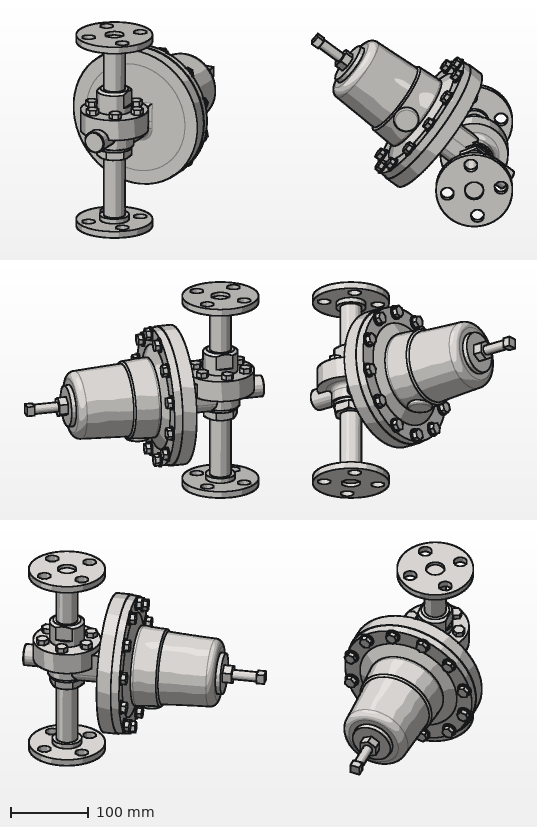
import cadquery as cq
import math


pipe_length = 260.5
pipe_radius = 14.0
flange_radius = 49.3
flange_thickness = 8.8
flange_hub_radius = 19.0
flange_hub_height = 6.3
flange_hole_diameter = 16.7
flange_hole_offset = 24.5
bore_radius = 12.0
bore_depth = 4.7

body_radius = 43.5
cover_top = 28.0
body_bottom = 1.0
skirt_radius = 25.0
skirt_fillet = 7.0
skirt_bottom = -19.3
skirt_step_radius = 22.5
hex_across_flats = 39.0
hex_top = -23.5
hex_bottom = -34.7
hex_chamfer_height = 1.42
hex_chamfer_width = 2.8
hub_radius = 22.5
hub_top = 56.8
hub_chamfer_height = 2.8
hub_chamfer_width = 4.5
hub_flat_bottom = 36.3
cover_bolt_count = 6
cover_bolt_circle_radius = 33.0
cover_bolt_across_flats = 13.5
cover_bolt_height = 6.5
stub_radius = 14.0
stub_end = -55.3
stub_chamfer = 1.0

neck_width = 44.8
neck_top = 20.0
neck_bottom = -23.5
neck_corner_radius = 13.5
neck_root_fillet = 5.0

housing_diameter = 181.0
housing_front = 57.5
housing_joint = 76.0
housing_back = 86.8
rim_front_radius = 89.7
rim_back_radius = 89.0
cone_base_radius = 72.0
cone_apex = 48.3
housing_bolt_count = 12
housing_bolt_circle_radius = 81.8
housing_bolt_across_flats = 13.3
housing_bolt_top = 94.7
housing_bolt_turn = 35.0
washer_diameter = 18.0
washer_thickness = 1.5

flare_radius = 68.0
flare_top = 94.0
bonnet_base_top = 97.0
bonnet_base_radius = 52.0
bonnet_step = 127.2
bonnet_step_radius = 50.2
barrel_start = 129.5
barrel_base_radius = 47.5
barrel_end = 191.3
barrel_end_radius = 44.2
crown = 200.8
crown_fillet = crown - barrel_end
collar_base_radius = 27.0
collar_top_radius = 26.5
collar_top = 206.8
vent_radius = 16.0
vent_end = -53.7
vent_edge_fillet = 2.0
nut_across_flats = 22.0
nut_top = 218.2
screw_width = 12.5
screw_square_length = 10.0
screw_end = 260.5


def cylinder(radius, bottom, top):
    return cq.Workplane("XY").workplane(offset=bottom).circle(radius).extrude(top - bottom)


def hexagon(across_flats, bottom, top):
    """Hexagonal prism along Z with its corners on the Y axis."""
    corner_diameter = across_flats / math.cos(math.radians(30))
    prism = cq.Workplane("XY").workplane(offset=bottom).polygon(6, corner_diameter)
    return prism.extrude(top - bottom).rotate((0, 0, 0), (0, 0, 1), 30)


def along_y(shape):
    """Turn a shape built along +Z to lie along +Y."""
    return shape.rotate((0, 0, 0), (1, 0, 0), -90)


def pipe_end():
    """Upper pipe flange with its hub, bolt holes and shallow bore."""
    top = pipe_length / 2
    face = top - flange_thickness
    end = cylinder(flange_radius, face, top)
    end = end.union(cylinder(flange_hub_radius, face - flange_hub_height, face))
    corners = [(x, y) for x in (-flange_hole_offset, flange_hole_offset)
               for y in (-flange_hole_offset, flange_hole_offset)]
    holes = cq.Workplane("XY").workplane(offset=face).pushPoints(corners)
    return end.cut(holes.circle(flange_hole_diameter / 2).extrude(flange_thickness))


def pipe():
    half = pipe_length / 2
    upper = pipe_end()
    run = cylinder(pipe_radius, -half + bore_depth, half - bore_depth)
    run = run.union(upper).union(upper.mirror("XY"))
    upper_bore = cylinder(bore_radius, half - bore_depth, half)
    return run.cut(upper_bore).cut(upper_bore.mirror("XY"))


def valve_body():
    """Turned body: cover, bowl and filleted skirt."""
    profile = (
        cq.Workplane("XZ")
        .moveTo(0, cover_top)
        .lineTo(body_radius, cover_top)
        .lineTo(body_radius, body_bottom)
        .lineTo(skirt_radius + skirt_fillet, body_bottom)
        .radiusArc((skirt_radius, body_bottom - skirt_fillet), -skirt_fillet)
        .lineTo(skirt_radius, skirt_bottom)
        .lineTo(skirt_step_radius, skirt_bottom)
        .lineTo(skirt_step_radius, hex_top)
        .lineTo(0, hex_top)
        .close()
    )
    return profile.revolve(360, (0, 0, 0), (0, 1, 0))


def lower_nut():
    """Hexagon under the body with its lower corners turned off."""
    corner_radius = hex_across_flats / 2 / math.cos(math.radians(30))
    turned = cylinder(corner_radius, hex_bottom, hex_top)
    turned = turned.faces("<Z").chamfer(hex_chamfer_height, hex_chamfer_width)
    return hexagon(hex_across_flats, hex_bottom, hex_top).intersect(turned)


def cover_hub():
    """Round hub on the cover with two wrench flats facing -X and +X."""
    hub = cylinder(hub_radius, cover_top, hub_top)
    hub = hub.faces(">Z").chamfer(hub_chamfer_height, hub_chamfer_width)
    flat_height = hub_top - hub_flat_bottom
    for side in (-1, 1):
        waste = cq.Workplane("XY").box(hub_radius, 2 * hub_radius, flat_height)
        offset = side * (hex_across_flats + hub_radius) / 2
        hub = hub.cut(waste.translate((offset, 0, hub_top - flat_height / 2)))
    return hub


def cover_bolts():
    head = hexagon(cover_bolt_across_flats, cover_top, cover_top + cover_bolt_height)
    heads = cq.Workplane("XY")
    for index in range(cover_bolt_count):
        angle = math.radians(index * 360 / cover_bolt_count)
        x = cover_bolt_circle_radius * math.cos(angle)
        y = cover_bolt_circle_radius * math.sin(angle)
        heads = heads.add(head.translate((x, y, 0)))
    return heads.combine()


def stub():
    """Closed round boss pointing to -Y."""
    boss = along_y(cylinder(stub_radius, stub_end, 0))
    return boss.faces("<Y").chamfer(stub_chamfer)


def diaphragm_housing():
    """Turned housing: shallow cone, thick lower flange and thinner upper rim."""
    profile = (
        cq.Workplane("XY")
        .moveTo(0, cone_apex)
        .lineTo(cone_base_radius, housing_front)
        .lineTo(housing_diameter / 2, housing_front)
        .lineTo(housing_diameter / 2, housing_joint)
        .lineTo(rim_front_radius, housing_joint)
        .lineTo(rim_back_radius, housing_back)
        .lineTo(0, housing_back)
        .close()
    )
    return profile.revolve(360, (0, 0, 0), (0, 1, 0))


def neck():
    """Block from the valve axis to the housing, rounded along its lower edges."""
    height = neck_top - neck_bottom
    block = cq.Workplane("XY").box(neck_width, housing_front, height)
    block = block.translate((0, housing_front / 2, (neck_top + neck_bottom) / 2))
    return block.edges("|Y and <Z").fillet(neck_corner_radius)


def housing_with_neck():
    """Join the neck to the cone and round the corner where they meet."""
    joined = diaphragm_housing().union(neck())
    reach = neck_width
    low_corner = (-reach, cone_apex, -reach)
    high_corner = (reach, housing_front - neck_root_fillet / 2, reach)
    root = joined.edges(cq.selectors.BoxSelector(low_corner, high_corner))
    return root.fillet(neck_root_fillet)


def bonnet():
    """Turned spring bonnet from the housing rim to the collar on its crown."""
    profile = (
        cq.Workplane("XY")
        .moveTo(0, housing_back)
        .lineTo(flare_radius, housing_back)
        .lineTo(bonnet_base_radius, flare_top)
        .lineTo(bonnet_base_radius, bonnet_base_top)
        .lineTo(bonnet_step_radius, bonnet_step)
        .lineTo(barrel_base_radius, barrel_start)
        .lineTo(barrel_end_radius, barrel_end)
        .radiusArc((barrel_end_radius - crown_fillet, crown), -crown_fillet)
        .lineTo(collar_base_radius, crown)
        .lineTo(collar_top_radius, collar_top)
        .lineTo(0, collar_top)
        .close()
    )
    return profile.revolve(360, (0, 0, 0), (0, 1, 0))


def vent():
    """Round vent boss under the lower band of the bonnet."""
    center = bonnet_step - vent_radius
    boss = cylinder(vent_radius, vent_end, 0).faces("<Z").edges().fillet(vent_edge_fillet)
    return boss.translate((0, center, 0))


def adjusting_screw():
    square_start = screw_end - screw_square_length
    screw = hexagon(nut_across_flats, collar_top, nut_top)
    screw = screw.union(cylinder(screw_width / 2, collar_top, square_start))
    square = cq.Workplane("XY").workplane(offset=square_start).rect(screw_width, screw_width)
    return along_y(screw.union(square.extrude(screw_square_length)))


def housing_bolts():
    """Hex heads on washers, each turned with its place on the bolt circle."""
    head = hexagon(housing_bolt_across_flats, housing_back, housing_bolt_top)
    head = head.rotate((0, 0, 0), (0, 0, 1), housing_bolt_turn)
    washer = cylinder(washer_diameter / 2, housing_back, housing_back + washer_thickness)
    head = head.union(washer)
    head = head.translate((housing_bolt_circle_radius, 0, 0))
    pitch = 360 / housing_bolt_count
    first_angle = pitch / 2
    heads = cq.Workplane("XY")
    for index in range(housing_bolt_count):
        heads = heads.add(head.rotate((0, 0, 0), (0, 0, 1), first_angle + index * pitch))
    return along_y(heads.combine())


result = housing_with_neck()
for feature in (
    bonnet(),
    vent(),
    adjusting_screw(),
    housing_bolts(),
    valve_body(),
    cover_hub(),
    lower_nut(),
    stub(),
    cover_bolts(),
    pipe(),
):
    result = result.union(feature)